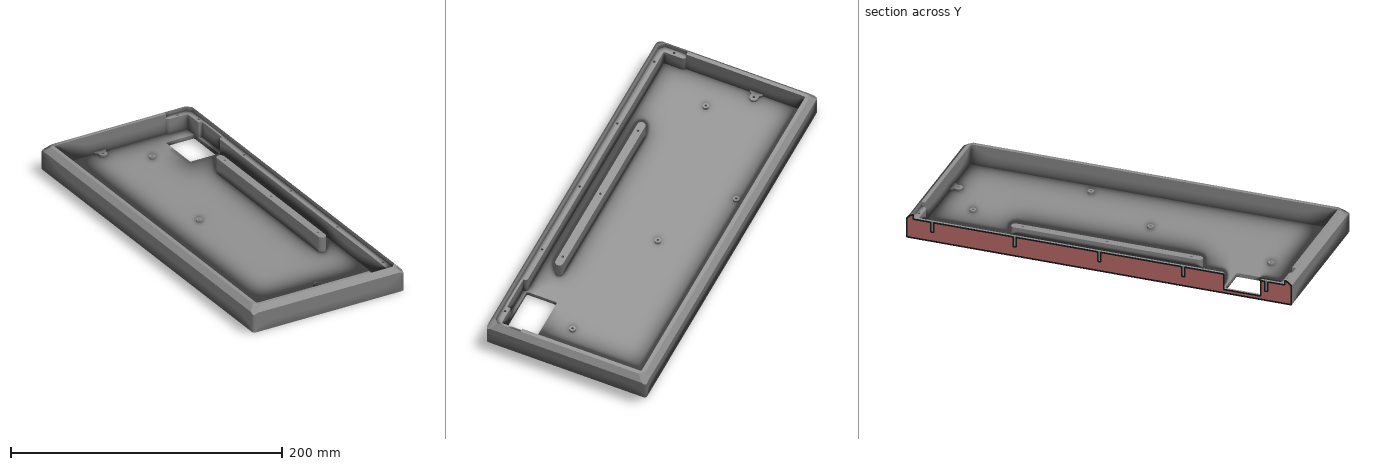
import cadquery as cq

LENGTH = 303.0
WIDTH = 130.0
HEIGHT = 20.06
CORNER_RADIUS = 2.0

BEVEL = 4.06
FACET_LEG = 3.7

FLOOR = 3.2
WALL = 7.1
CAVITY_RADIUS = 1.0

RECESS_DEPTH = 4.0
LEDGE_EDGE = 8.8
RECESS_FRONT_Y = 38.8
LEDGE_END_RADIUS = 3.0

BAR_LENGTH = 150.5
BAR_WIDTH = 6.3

WINDOW_LEFT = -133.3
WINDOW_RIGHT = -98.2
WINDOW_FRONT = 31.7
WINDOW_BACK = 56.3
WINDOW_RADIUS = 1.5
NOTCH_LEFT = -127.1
NOTCH_BACK_WALL = 5.9
NOTCH_RADIUS = 2.0

HOLE_DIAMETER = 2.0
HOLE_DEPTH = 8.0
SCREW_PITCH = 66.3
END_SCREW_X = 131.4
LEDGE_SCREW_Y = 58.7
SIDE_SCREW_X = 145.1
SIDE_SCREW_Y = 49.0

MOUNT_HEIGHT = 2.0
POST_DIAMETER = 5.0
POSTS = [(-117.3, 10.4), (117.3, 10.4), (-14.3, -11.3), (46.0, -47.1)]
TAB_X = 139.5
TAB_Y = -18.4
TAB_RADIUS = 3.25
TAB_ROOT_RADIUS = 2.0

HALF_LENGTH = LENGTH / 2
HALF_WIDTH = WIDTH / 2
MOUNT_TOP_Z = FLOOR + MOUNT_HEIGHT
RECESS_FLOOR_Z = HEIGHT - RECESS_DEPTH
BAR_Y = RECESS_FRONT_Y + BAR_WIDTH / 2


def block(x0, x1, y0, y1, z0, z1):
    """Axis-aligned box between two opposite corners."""
    return cq.Workplane("XY").box(x1 - x0, y1 - y0, z1 - z0, centered=False).translate((x0, y0, z0))


def faceted_rectangle(inset):
    """Corner points of the case outline moved inward by inset, each corner cut across by a facet."""
    x = HALF_LENGTH - inset
    y = HALF_WIDTH - inset
    leg = FACET_LEG
    return [
        (x, leg - y), (x, y - leg), (x - leg, y), (leg - x, y),
        (-x, y - leg), (-x, leg - y), (leg - x, -y), (x - leg, -y),
    ]


def outer_body():
    """Block with rounded upright edges, trimmed at the top by the sloped border."""
    body = cq.Workplane("XY").box(LENGTH, WIDTH, HEIGHT, centered=(True, True, False))
    body = body.edges("|Z").fillet(CORNER_RADIUS)
    slopes = (
        cq.Workplane("XY")
        .polyline(faceted_rectangle(BEVEL - HEIGHT)).close()
        .workplane(offset=HEIGHT)
        .polyline(faceted_rectangle(BEVEL)).close()
        .loft(ruled=True)
    )
    return body.intersect(slopes)


def cavity():
    """Main hollow above the floor, leaving the ledge standing at the back."""
    x = HALF_LENGTH - WALL
    y = HALF_WIDTH - WALL
    hollow = block(-x, x, -y, y, FLOOR, HEIGHT).edges("|Z").fillet(CAVITY_RADIUS)
    return hollow.cut(ledge())


def ledge():
    """U-shaped shelf along the back wall, with short arms on both side walls."""
    inner_x = HALF_LENGTH - LEDGE_EDGE
    inner_y = HALF_WIDTH - LEDGE_EDGE
    shelf = block(-HALF_LENGTH, HALF_LENGTH, RECESS_FRONT_Y, HALF_WIDTH, FLOOR, HEIGHT)
    bay = block(-inner_x, inner_x, -HALF_WIDTH, inner_y, FLOOR, HEIGHT)
    bay = bay.edges("|Z").edges(">Y").fillet(CAVITY_RADIUS)
    shelf = shelf.cut(bay)
    arm_tips = shelf.faces("<Y").edges("|Z").edges("not(<X or >X)")
    return shelf.newObject(arm_tips.vals()).fillet(LEDGE_END_RADIUS)


def cover_recess():
    """Shallow recess for the cover, following the inner edge of the sloped border."""
    opening = (
        cq.Workplane("XY").workplane(offset=RECESS_FLOOR_Z)
        .polyline(faceted_rectangle(BEVEL)).close()
        .extrude(RECESS_DEPTH)
    )
    back = block(-HALF_LENGTH, HALF_LENGTH, RECESS_FRONT_Y, HALF_WIDTH, RECESS_FLOOR_Z, HEIGHT)
    return opening.intersect(back)


def support_bar():
    """Round-ended bar standing on the floor, level with the ledge."""
    return (
        cq.Workplane("XY").workplane(offset=FLOOR)
        .center(0, BAR_Y).slot2D(BAR_LENGTH, BAR_WIDTH)
        .extrude(RECESS_FLOOR_Z - FLOOR)
    )


def connector_opening():
    """Window through the floor plus the notch in the ledge behind it."""
    window = block(WINDOW_LEFT, WINDOW_RIGHT, WINDOW_FRONT, WINDOW_BACK, 0, FLOOR)
    window = window.edges("|Z").fillet(WINDOW_RADIUS)
    ledge_front = HALF_WIDTH - LEDGE_EDGE
    notch_back = HALF_WIDTH - NOTCH_BACK_WALL
    notch = block(NOTCH_LEFT, WINDOW_RIGHT, ledge_front, notch_back, FLOOR, HEIGHT)
    lead_in_x = WINDOW_RIGHT + NOTCH_RADIUS
    lead_in_y = ledge_front + NOTCH_RADIUS
    lead_in = block(WINDOW_RIGHT, lead_in_x, ledge_front, lead_in_y, FLOOR, HEIGHT)
    round_off = (
        cq.Workplane("XY").workplane(offset=FLOOR)
        .center(lead_in_x, lead_in_y)
        .circle(NOTCH_RADIUS).extrude(HEIGHT - FLOOR)
    )
    return window.union(notch).union(lead_in.cut(round_off))


def wall_tab(side):
    """Rounded tab reaching inward from a side wall, flared at its root; side is -1 or 1."""
    wall_x = HALF_LENGTH - WALL
    reach = wall_x - TAB_X
    root = TAB_ROOT_RADIUS
    flare = TAB_RADIUS + root
    tab = (
        cq.Workplane("XY").workplane(offset=FLOOR)
        .moveTo(0, flare)
        .radiusArc((-root, TAB_RADIUS), -root)
        .lineTo(-reach, TAB_RADIUS)
        .threePointArc((-reach - TAB_RADIUS, 0), (-reach, -TAB_RADIUS))
        .lineTo(-root, -TAB_RADIUS)
        .radiusArc((0, -flare), -root)
        .close()
        .extrude(MOUNT_HEIGHT)
        .translate((wall_x, TAB_Y, 0))
    )
    return tab if side > 0 else tab.mirror("YZ")


def posts():
    """Round board supports standing on the floor."""
    return (
        cq.Workplane("XY").workplane(offset=FLOOR)
        .pushPoints(POSTS).circle(POST_DIAMETER / 2).extrude(MOUNT_HEIGHT)
    )


def holes(points, top_z, depth):
    """Blind screw holes drilled down from top_z."""
    return (
        cq.Workplane("XY").workplane(offset=top_z - depth)
        .pushPoints(points).circle(HOLE_DIAMETER / 2).extrude(depth)
    )


bar_screws = [(x, BAR_Y) for x in (-SCREW_PITCH, 0, SCREW_PITCH)]
ledge_screws = [(x, LEDGE_SCREW_Y) for x in (-END_SCREW_X, -SCREW_PITCH, 0, SCREW_PITCH, END_SCREW_X)]
side_screws = [(x, SIDE_SCREW_Y) for x in (-SIDE_SCREW_X, SIDE_SCREW_X)]
tab_screws = [(x, TAB_Y) for x in (-TAB_X, TAB_X)]

result = outer_body().cut(cavity()).cut(cover_recess())
result = result.union(support_bar()).union(posts())
for side in (-1, 1):
    result = result.union(wall_tab(side))
result = result.cut(connector_opening())
result = result.cut(holes(bar_screws + ledge_screws + side_screws, RECESS_FLOOR_Z, HOLE_DEPTH))
result = result.cut(holes(POSTS + tab_screws, MOUNT_TOP_Z, MOUNT_HEIGHT))